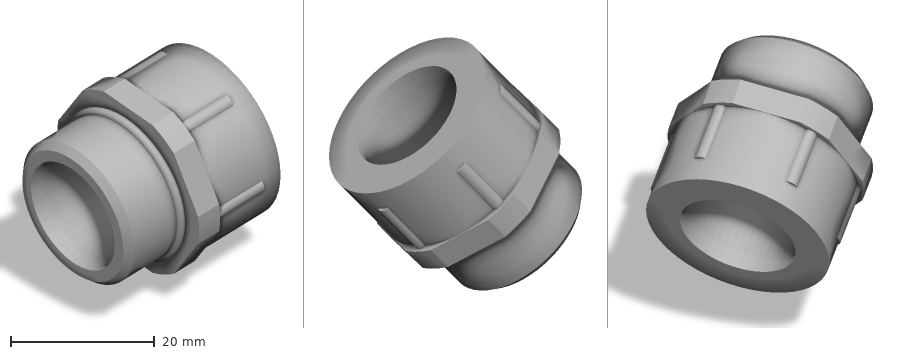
import cadquery as cq
import math

total_length = 27.0
spigot_length = 10.55
collar_thickness = 4.0
rib_length = 8.9

collar_corner_diameter = 28.75
collar_across_flats = 27.0
body_diameter = 26.8
bore_diameter = 16.95

spigot_diameter = 22.48
chamfer_length = 1.1
chamfer_depth = 1.0
ring_section_diameter = 1.45

rib_count = 6
rib_diameter = 2.3
rib_tip_radius = 13.9

collar_end = spigot_length + collar_thickness
spigot_radius = spigot_diameter / 2


def cylinder(diameter, start, end):
    """Solid cylinder about the Y axis from start to end."""
    plane = cq.Workplane("XZ", origin=(0, start, 0))
    return plane.circle(diameter / 2).extrude(start - end)


def make_collar():
    """Hexagonal collar, flats facing up and down, with turned corners."""
    hexagon = (
        cq.Workplane("XZ", origin=(0, spigot_length, 0))
        .polygon(6, collar_across_flats / math.cos(math.pi / 6))
        .extrude(-collar_thickness)
    )
    return hexagon.intersect(cylinder(collar_corner_diameter, spigot_length, collar_end))


def make_spigot():
    """Spigot turned about Y, with a chamfered mouth."""
    return (
        cq.Workplane("XY")
        .moveTo(0, 0)
        .lineTo(spigot_radius - chamfer_depth, 0)
        .lineTo(spigot_radius, chamfer_length)
        .lineTo(spigot_radius, spigot_length)
        .lineTo(0, spigot_length)
        .close()
        .revolve(360, (0, 0, 0), (0, 1, 0))
    )


def make_sealing_ring():
    """Round-section ring on the spigot, resting against the collar."""
    section_radius = ring_section_diameter / 2
    return (
        cq.Workplane("XY")
        .center(spigot_radius, spigot_length - section_radius)
        .circle(section_radius)
        .revolve(360, (-spigot_radius, 0, 0), (-spigot_radius, 1, 0))
    )


def make_rib(angle):
    """Round grip rib, partly sunk in the body and running along the body from the collar."""
    rib = cylinder(rib_diameter, collar_end, collar_end + rib_length)
    return rib.translate((rib_tip_radius - rib_diameter / 2, 0, 0)).rotate((0, 0, 0), (0, 1, 0), angle)


result = make_collar().union(cylinder(body_diameter, collar_end, total_length))
result = result.union(make_spigot()).union(make_sealing_ring())
for index in range(rib_count):
    result = result.union(make_rib(index * 360 / rib_count))
result = result.cut(cylinder(bore_diameter, 0, total_length))